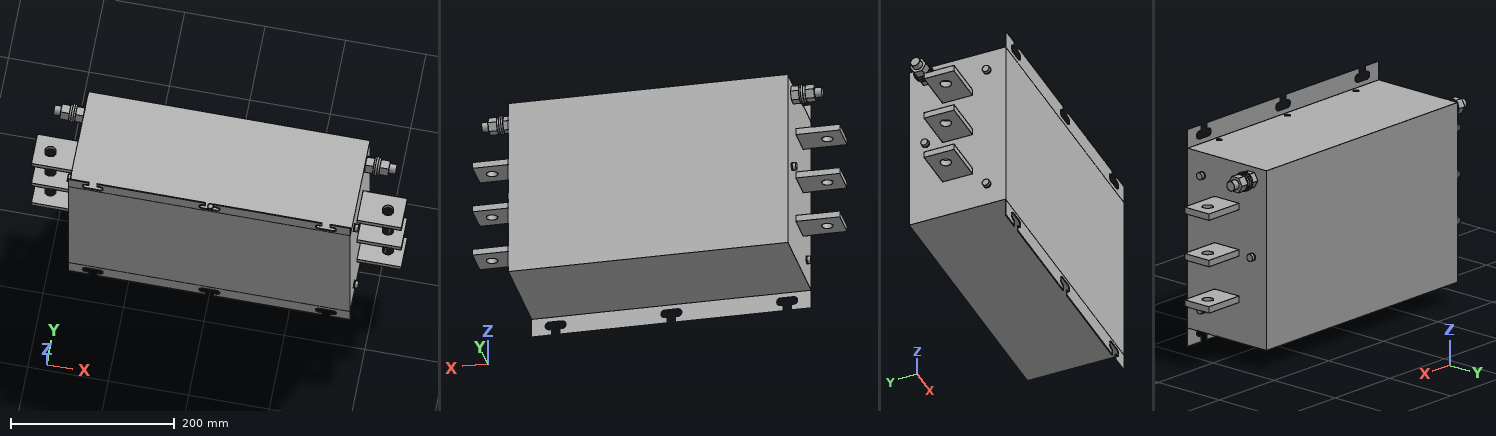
import cadquery as cq
import math

overall_length = 460.0
depth = 130.0
plate_height = 280.0
front_y = -depth / 2

box_length = 350.0
box_height = 232.0
plate_thickness = 1.0
end_x = box_length / 2

slot_pitch = 145.0
slot_length = 25.8
slot_width = 10.0
slot_edge_distance = 13.0
neck_width = 10.0

bar_pitch = 60.0
bar_width = 40.0
bar_thickness = 8.5
bar_length = overall_length / 2 - end_x
bar_hole_diameter = 14.0
bar_hole_edge_distance = 20.2

stud_y = 40.0
stud_z = 100.0
stud_diameter = 12.5
stud_length = 37.5
nut_across_flats = 19.0
nut_thickness = 10.0
washers = [(23.5, 2.5), (24.0, 2.8), (21.5, 2.8)]
outer_nut_thickness = 11.0

screw_diameter = 9.0
screw_length = 5.5
collar_diameter = 9.5
collar_thickness = 1.5
screw_places = [(-40.0, 86.5), (-40.0, -86.5), (42.5, 0.0)]

rivet_pitch = 125.0
rivet_front_distance = 8.0
rivet_diameter = 7.0
rivet_height = 1.15
rivet_hole_depth = 1.5


def make_housing():
    """Rectangular enclosure with a taller, thin plate flush with its -Y face."""
    box = cq.Workplane("XY").box(box_length, depth, box_height)
    plate = (
        cq.Workplane("XY")
        .box(box_length, plate_thickness, plate_height)
        .translate((0, front_y + plate_thickness / 2, 0))
    )
    return box.union(plate)


def make_slot_cutter(x, side):
    """Long slot with a neck to the plate edge; side is +1 for upper, -1 for lower."""
    slot_z = plate_height / 2 - slot_edge_distance
    slot = cq.Workplane("XZ").center(x, side * slot_z).slot2D(slot_length, slot_width)
    neck = (
        cq.Workplane("XZ")
        .center(x, side * (slot_z + slot_edge_distance / 2))
        .rect(neck_width, slot_edge_distance)
    )
    cutter = slot.extrude(plate_thickness).union(neck.extrude(plate_thickness))
    return cutter.translate((0, front_y + plate_thickness, 0))


def make_rivet_recess_cutter(x):
    """Round recess whose bottom rises in the middle as a spherical rivet head."""
    radius = rivet_diameter / 2
    sphere_radius = (radius**2 + rivet_height**2) / (2 * rivet_height)
    floor_center = (x, front_y + rivet_front_distance, box_height / 2 - rivet_hole_depth)
    recess = cq.Workplane("XY", origin=floor_center).circle(radius).extrude(rivet_hole_depth)
    head = (
        cq.Workplane("XY")
        .sphere(sphere_radius)
        .translate((0, 0, rivet_height - sphere_radius))
        .translate(floor_center)
    )
    return recess.cut(head)


def make_bar(z):
    """Flat terminal bar on the +X end with a vertical bolt hole."""
    bar = (
        cq.Workplane("XY")
        .box(bar_length, bar_width, bar_thickness)
        .translate((end_x + bar_length / 2, 0, z))
    )
    hole = (
        cq.Workplane("XY", origin=(overall_length / 2 - bar_hole_edge_distance, 0, z))
        .circle(bar_hole_diameter / 2)
        .extrude(bar_thickness, both=True)
    )
    return bar.cut(hole)


def end_plane(y, z, offset=0.0):
    """Workplane facing +X, at the given distance outside the +X end."""
    return cq.Workplane("YZ", origin=(end_x + offset, y, z))


def make_stud():
    """Earth stud on the +X end with its nuts and washers."""
    across_corners = nut_across_flats / math.cos(math.pi / 6)
    outer_nut_start = nut_thickness + sum(thickness for _, thickness in washers)

    stud = end_plane(stud_y, stud_z).circle(stud_diameter / 2).extrude(stud_length)
    for start, thickness in [(0, nut_thickness), (outer_nut_start, outer_nut_thickness)]:
        nut = end_plane(stud_y, stud_z, start).polygon(6, across_corners).extrude(thickness)
        stud = stud.union(nut)
    washer_start = nut_thickness
    for diameter, thickness in washers:
        washer = end_plane(stud_y, stud_z, washer_start).circle(diameter / 2).extrude(thickness)
        stud = stud.union(washer)
        washer_start += thickness
    return stud


def make_screw(y, z):
    """Round screw head and collar on the +X end."""
    head = end_plane(y, z).circle(screw_diameter / 2).extrude(screw_length)
    collar = end_plane(y, z).circle(collar_diameter / 2).extrude(collar_thickness)
    return head.union(collar)


result = make_housing()

for column in (-1, 0, 1):
    result = result.cut(make_rivet_recess_cutter(column * rivet_pitch))
    for side in (1, -1):
        result = result.cut(make_slot_cutter(column * slot_pitch, side))

fittings = [make_bar(row * bar_pitch) for row in (-1, 0, 1)]
fittings += [make_screw(y, z) for y, z in screw_places]
fittings.append(make_stud())
for fitting in fittings:
    result = result.union(fitting).union(fitting.mirror("YZ"))